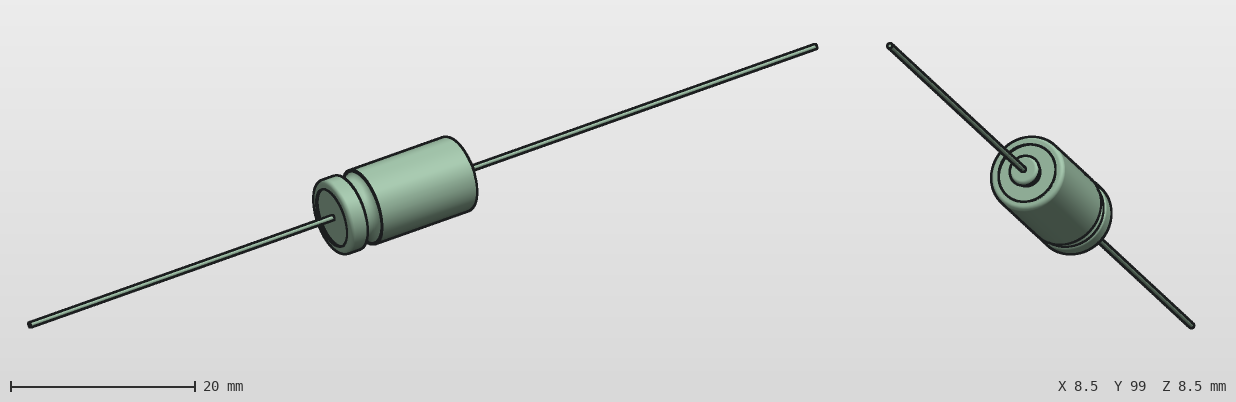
import cadquery as cq
import math

total_length = 99.0
lead_diameter = 0.6

can_diameter = 8.5
can_length = 16.0
can_front = -11.5
corner_radius = 0.5

sleeve_thickness = 0.2
opening_diameter = 6.5

groove_from_front = 2.9
groove_width = 2.0
groove_depth = 0.6
groove_lip_radius = 0.3

bung_length = 1.2
bung_neck_diameter = 3.0
bung_flange_diameter = 3.4
bung_flange_length = 0.5
bung_flange_rounding = 0.4

can_radius = can_diameter / 2
can_back = can_front + can_length
groove_center = can_front + groove_from_front
groove_front = groove_center - groove_width / 2
groove_back = groove_center + groove_width / 2
core_front = can_front + sleeve_thickness
core_back = can_back - sleeve_thickness
bung_back = can_back + bung_length
bung_flange_front = bung_back - bung_flange_length

diagonal = math.sqrt(0.5)


def revolve_about_y(profile):
    return profile.close().revolve(360, (0, 0, 0), (0, 1, 0))


def cylinder_along_y(diameter, y_start, y_end):
    plane = cq.Workplane("XZ", origin=(0, y_start, 0))
    return plane.circle(diameter / 2).extrude(y_start - y_end)


def grooved_can(inset):
    """Solid can with rounded ends and a groove, its surface moved inward by inset."""
    radius = can_radius - inset
    front = can_front + inset
    back = can_back - inset
    corner = corner_radius - inset
    corner_rise = corner * (1 - diagonal)
    lip = groove_lip_radius
    profile = (
        cq.Workplane("XY")
        .moveTo(0, front)
        .lineTo(radius - corner, front)
        .threePointArc((radius - corner_rise, front + corner_rise), (radius, front + corner))
        .lineTo(radius, groove_front)
        .threePointArc(
            (radius - lip * (1 - diagonal), groove_front + lip * diagonal),
            (radius - lip, groove_front + lip),
        )
        .threePointArc((radius - groove_depth, groove_center), (radius, groove_back))
        .lineTo(radius, back - corner)
        .threePointArc((radius - corner_rise, back - corner_rise), (radius - corner, back))
        .lineTo(0, back)
    )
    return revolve_about_y(profile)


def make_bung():
    neck_radius = bung_neck_diameter / 2
    flange_radius = bung_flange_diameter / 2
    rounding = bung_flange_rounding
    rounding_rise = rounding * (1 - diagonal)
    profile = (
        cq.Workplane("XY")
        .moveTo(0, core_back)
        .lineTo(neck_radius, core_back)
        .lineTo(neck_radius, bung_flange_front)
        .lineTo(flange_radius, bung_flange_front)
        .lineTo(flange_radius, bung_back - rounding)
        .threePointArc(
            (flange_radius - rounding_rise, bung_back - rounding_rise),
            (flange_radius - rounding, bung_back),
        )
        .lineTo(0, bung_back)
    )
    return revolve_about_y(profile)


def make_core():
    """Metal can inside the sleeve, in one piece with its bung and both leads."""
    front_lead = cylinder_along_y(lead_diameter, -total_length / 2, core_front)
    back_lead = cylinder_along_y(lead_diameter, bung_back, total_length / 2)
    return grooved_can(sleeve_thickness).union(make_bung()).union(front_lead).union(back_lead)


def make_sleeve():
    """Skin between the outer surface and the core, open at both ends."""
    openings = cylinder_along_y(opening_diameter, can_front, can_back)
    return grooved_can(0).cut(grooved_can(sleeve_thickness)).cut(openings)


core = make_core().solids()
sleeve = make_sleeve().solids()

result = cq.Compound.makeCompound([core.val(), sleeve.val()])